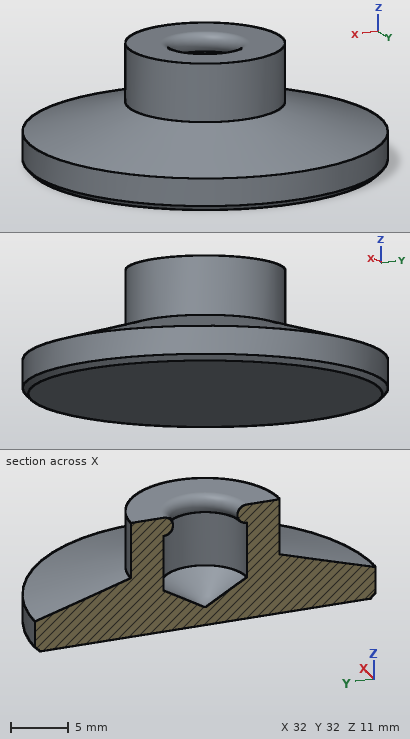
import cadquery as cq
import math

flange_radius = 16.0
flange_height = 3.0
flange_chamfer = 0.5

shoulder_top = 5.7

hub_radius = 7.0
total_height = 11.0

throat_radius = 3.0
lip_radius = 0.9
bore_radius = throat_radius + lip_radius
bore_depth = 7.0
drill_point_angle = 120.0
drill_point_height = bore_radius / math.tan(math.radians(drill_point_angle / 2))


def revolve_about_z(profile):
    """Revolve a closed (radius, height) profile fully about the Z axis."""
    return profile.close().revolve(360, (0, 0, 0), (0, 1, 0))


def make_body():
    """Solid flange, conical shoulder and hub."""
    profile = (
        cq.Workplane("XZ")
        .moveTo(0, 0)
        .lineTo(flange_radius - flange_chamfer, 0)
        .lineTo(flange_radius, flange_chamfer)
        .lineTo(flange_radius, flange_height)
        .lineTo(hub_radius, shoulder_top)
        .lineTo(hub_radius, total_height)
        .lineTo(0, total_height)
    )
    return revolve_about_z(profile)


def make_bore():
    """Volume removed for the lipped blind bore."""
    bore_floor = total_height - bore_depth
    throat_height = total_height - lip_radius
    lip_bottom = throat_height - lip_radius
    profile = (
        cq.Workplane("XZ")
        .moveTo(0, total_height)
        .lineTo(bore_radius, total_height)
        .radiusArc((throat_radius, throat_height), -lip_radius)
        .radiusArc((bore_radius, lip_bottom), -lip_radius)
        .lineTo(bore_radius, bore_floor)
        .lineTo(0, bore_floor - drill_point_height)
    )
    return revolve_about_z(profile)


result = make_body().cut(make_bore())